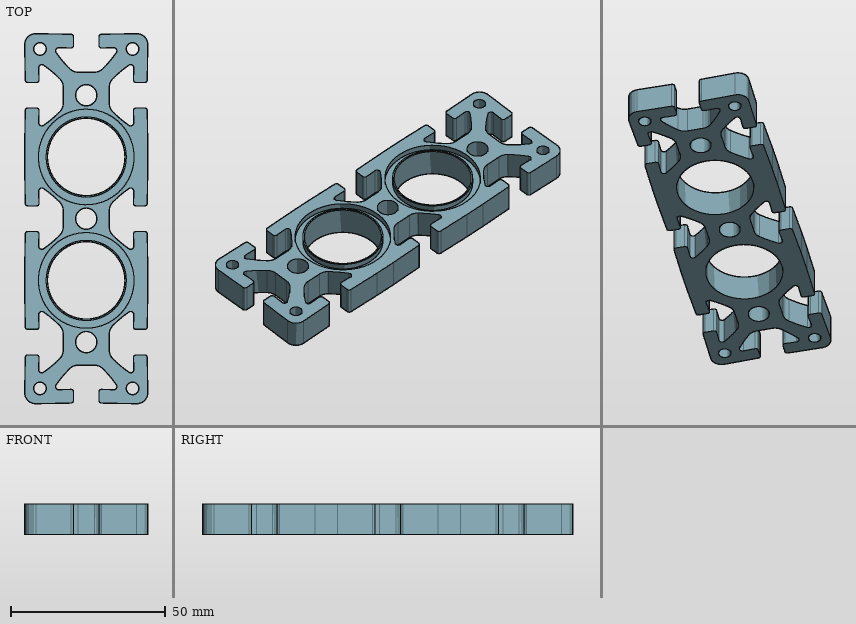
import cadquery as cq

cell = 40.0
cell_count = 3
thickness = 10.0
corner_radius = 3.65
width = cell
length = cell * cell_count

slot_half_width = 4.1
lip_thickness = 4.55
lip_setback = 0.22
lean_start = cell / 2 - corner_radius
floor_depth = 12.5
floor_corner_u = 4.2
cavity_half_width = 10.8
flank_radius = 38.0
lip_fillet = 0.9
cavity_fillet = 1.0
floor_fillet = 4.0
outside_margin = 1.0

core_hole_diameter = 6.8
corner_hole_diameter = 4.0
corner_hole_inset = 5.0
bore_diameter = 25.0
groove_inner_diameter = 26.0
groove_outer_diameter = 31.0
groove_depth = 2.0

core_centres = [(i - (cell_count - 1) / 2) * cell for i in range(cell_count)]
bore_centres = [(a + b) / 2 for a, b in zip(core_centres, core_centres[1:])]


def mirrored(point):
    """The same slot point on the other side of the slot centre."""
    u, v = point
    return (-u, v)


def slot_cutter():
    """T-slot cutter opening toward -Y, with the part face on the X axis."""
    lip_edge_outer = (slot_half_width, lip_setback)
    lip_edge_inner = (slot_half_width, lip_thickness + lip_setback)
    cavity_corner = (cavity_half_width, lip_thickness)
    floor_corner = (floor_corner_u, floor_depth)

    face_to_cavity = [
        (lean_start, -outside_margin),
        (lean_start, 0),
        lip_edge_outer,
        lip_edge_inner,
        cavity_corner,
    ]
    cavity_to_face = [mirrored(point) for point in reversed(face_to_cavity)]
    cutter = (
        cq.Workplane("XY")
        .polyline(face_to_cavity)
        .radiusArc(floor_corner, -flank_radius)
        .lineTo(*mirrored(floor_corner))
        .radiusArc(mirrored(cavity_corner), -flank_radius)
        .polyline(cavity_to_face)
        .close()
        .extrude(thickness)
    )

    rounded = [
        (lip_edge_outer, lip_fillet),
        (lip_edge_inner, lip_fillet),
        (cavity_corner, cavity_fillet),
        (floor_corner, floor_fillet),
    ]
    for (u, v), radius in rounded:
        for side in (-1, 1):
            cutter = fillet_edge(cutter, side * u, v, radius)
    return cutter


def fillet_edge(body, x, y, radius):
    """Round the vertical edge that passes through (x, y)."""
    edge = cq.selectors.NearestToPointSelector((x, y, thickness / 2))
    return body.edges("|Z").edges(edge).fillet(radius)


def turned(body, angle):
    """The body turned about the Z axis."""
    return body.rotate((0, 0, 0), (0, 0, 1), angle)


def cut_slots(body):
    """One slot at each end and one per cell along both long sides."""
    cutter = slot_cutter()
    end_slot = cutter.translate((0, -length / 2, 0))
    side_slot = turned(cutter, -90).translate((-width / 2, 0, 0))
    for turn in (0, 180):
        body = body.cut(turned(end_slot, turn))
        for y in core_centres:
            body = body.cut(turned(side_slot, turn).translate((0, y, 0)))
    return body


def cylinder_cutter(points, diameter, depth):
    """Cylinders reaching down from the top face."""
    top_face = cq.Workplane("XY", origin=(0, 0, thickness))
    return top_face.pushPoints(points).circle(diameter / 2).extrude(-depth)


def cut_holes(body):
    """Through holes: cell cores, plate corners and the large bores between cores."""
    bores = [(0, y) for y in bore_centres]
    cores = [(0, y) for y in core_centres]
    hole_x = width / 2 - corner_hole_inset
    hole_y = length / 2 - corner_hole_inset
    corners = [(sx * hole_x, sy * hole_y) for sx in (-1, 1) for sy in (-1, 1)]
    holes = [
        (cores, core_hole_diameter),
        (corners, corner_hole_diameter),
        (bores, bore_diameter),
    ]
    for points, diameter in holes:
        body = body.cut(cylinder_cutter(points, diameter, thickness))
    return body


def cut_seal_grooves(body):
    """Ring grooves around the bores; a thin collar stays between groove and bore."""
    bores = [(0, y) for y in bore_centres]
    outer = cylinder_cutter(bores, groove_outer_diameter, groove_depth)
    collar = cylinder_cutter(bores, groove_inner_diameter, groove_depth)
    return body.cut(outer.cut(collar))


plate = cq.Workplane("XY").box(width, length, thickness, centered=(True, True, False))
plate = plate.edges("|Z").fillet(corner_radius)
plate = cut_slots(plate)
plate = cut_seal_grooves(plate)
result = cut_holes(plate)